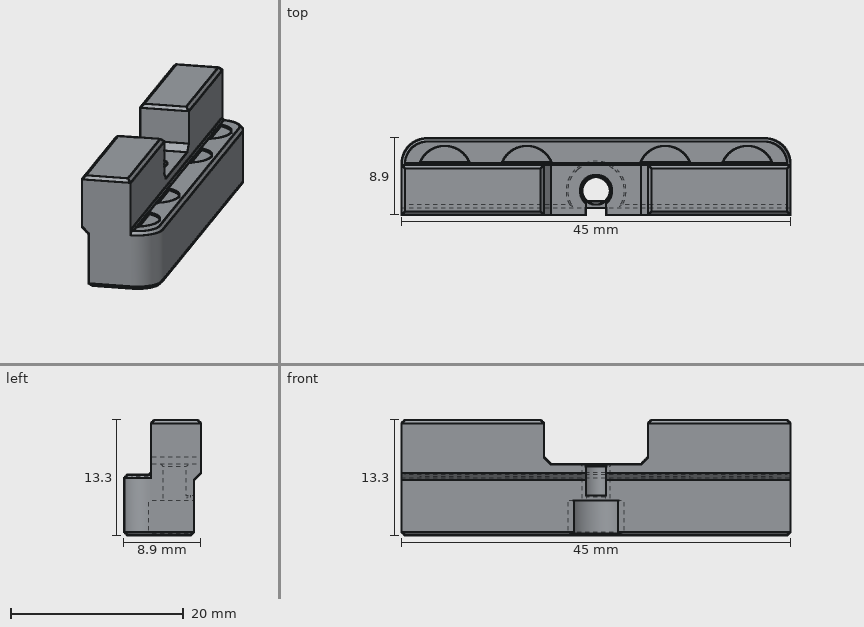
import cadquery as cq
LENGTH = 45.0
DEPTH = 8.9
HEIGHT = 13.34
EDGE_CHAMFER = 0.4

BLOCK_BACK = 5.8
OVERHANG = 0.8
OVERHANG_Z = 7.2

FLANGE_HEIGHT = 7.0
FLANGE_RADIUS = 3.0
ROOT_BEVEL = 0.23

NOTCH_WIDTH = 12.0
NOTCH_FLOOR = 8.22
NOTCH_CORNER = 0.8

HOLE_Y = 2.8
HOLE_DIAMETER = 3.2
HOLE_CHAMFER = 0.25
HOLE_SHOULDER = 4.4
SLOT_WIDTH = 2.35
SLOT_FLOOR = 4.6
BORE_DIAMETER = 6.5
BORE_TOP = 4.0
BORE_CHAMFER = 0.2

RECESS_DIAMETER = 6.2
RECESS_Y = 4.9
RECESS_FRONT = 6.12
RECESS_DEPTH = 0.2
RECESS_POSITIONS = (8.0, 17.5)


def box(x_size, y_min, y_max, z_min, z_max):
    """Box centred on X, spanning the given Y and Z ranges."""
    base = cq.Workplane("XY").box(x_size, y_max - y_min, z_max - z_min, centered=(True, False, False))
    return base.translate((0, y_min, z_min))


def cylinder(diameter, x, y, z_min, z_max):
    """Vertical cylinder spanning the given Z range."""
    return cq.Workplane("XY", origin=(x, y, z_min)).circle(diameter / 2).extrude(z_max - z_min)


def cone(bottom_diameter, top_diameter, y, z_min, z_max):
    """Vertical cone frustum on the X centre line."""
    frustum = cq.Solid.makeCone(bottom_diameter / 2, top_diameter / 2, z_max - z_min, cq.Vector(0, y, z_min))
    return cq.Workplane(obj=frustum)


def make_flange():
    """Flange with rounded back corners, chamfered rims and shallow recesses."""
    flange = box(LENGTH, BLOCK_BACK, DEPTH, 0, FLANGE_HEIGHT)
    flange = flange.edges("|Z and >Y").fillet(FLANGE_RADIUS)
    flange = flange.faces("<Z or >Z").edges("not <Y").chamfer(EDGE_CHAMFER)
    recess_floor = FLANGE_HEIGHT - RECESS_DEPTH
    recess_zone = box(LENGTH, RECESS_FRONT, DEPTH, recess_floor, FLANGE_HEIGHT)
    for position in RECESS_POSITIONS:
        for x in (-position, position):
            recess = cylinder(RECESS_DIAMETER, x, RECESS_Y, recess_floor, FLANGE_HEIGHT)
            flange = flange.cut(recess.intersect(recess_zone))
    return flange


def make_root_bevel():
    """Bevel between the back of the block and the flat flange top."""
    profile = [
        (BLOCK_BACK, FLANGE_HEIGHT),
        (BLOCK_BACK + ROOT_BEVEL, FLANGE_HEIGHT),
        (BLOCK_BACK, FLANGE_HEIGHT + ROOT_BEVEL),
    ]
    bevel_length = LENGTH - 2 * EDGE_CHAMFER
    return cq.Workplane("YZ").polyline(profile).close().extrude(bevel_length / 2, both=True)


def make_block():
    """Block with a sloped front overhang, a notch in the top and chamfered rims."""
    profile = [
        (0, HEIGHT),
        (0, OVERHANG_Z),
        (OVERHANG, OVERHANG_Z - OVERHANG),
        (OVERHANG, 0),
        (BLOCK_BACK, 0),
        (BLOCK_BACK, HEIGHT),
    ]
    block = cq.Workplane("YZ").polyline(profile).close().extrude(LENGTH / 2, both=True)
    notch = box(NOTCH_WIDTH, 0, BLOCK_BACK, NOTCH_FLOOR, HEIGHT)
    notch = notch.faces("<Z").edges("|Y").chamfer(NOTCH_CORNER)
    block = block.cut(notch)
    block = block.faces(">Z").edges().chamfer(EDGE_CHAMFER)
    return block.faces("<Z").edges("not >Y").chamfer(EDGE_CHAMFER)


def cut_screw_hole(body):
    """Cut the countersunk screw hole and the slot that opens it to the front."""
    body = body.cut(cylinder(HOLE_DIAMETER, 0, HOLE_Y, HOLE_SHOULDER, NOTCH_FLOOR))
    body = body.cut(box(SLOT_WIDTH, 0, HOLE_Y, SLOT_FLOOR, NOTCH_FLOOR))
    rim_diameter = HOLE_DIAMETER + 2 * HOLE_CHAMFER
    body = body.cut(cone(HOLE_DIAMETER, rim_diameter, HOLE_Y, NOTCH_FLOOR - HOLE_CHAMFER, NOTCH_FLOOR))

    flat_y = HOLE_Y - SLOT_WIDTH / 2
    web_opening = cylinder(HOLE_DIAMETER, 0, HOLE_Y, BORE_TOP, HOLE_SHOULDER)
    web_opening = web_opening.intersect(box(HOLE_DIAMETER, flat_y, DEPTH, BORE_TOP, HOLE_SHOULDER))
    return body.cut(web_opening)


def cut_bore(body):
    """Cut the bore under the screw hole, which breaks through the front face."""
    body = body.cut(cylinder(BORE_DIAMETER, 0, HOLE_Y, 0, BORE_TOP))
    rim_diameter = BORE_DIAMETER + 2 * BORE_CHAMFER
    return body.cut(cone(rim_diameter, BORE_DIAMETER, HOLE_Y, 0, BORE_CHAMFER))


body = make_flange().union(make_root_bevel()).union(make_block())
result = cut_bore(cut_screw_hole(body))